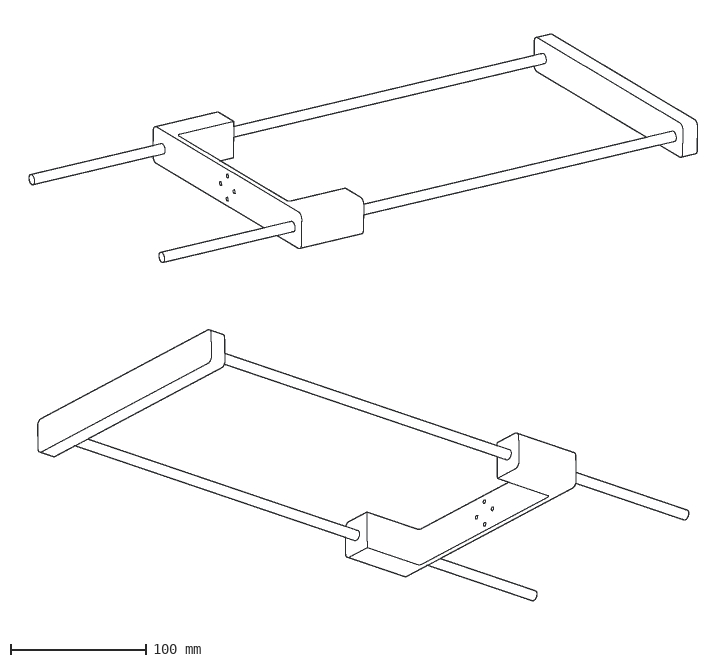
import cadquery as cq

total_length = 463.5
frame_width = 203.0
frame_tilt = 0.96
rear_y = total_length / 2
front_y = -total_length / 2

rod_diameter = 8.0
rod_spacing = 177.5

bar_thickness = 13.0
bar_height = 27.5
bar_corner_radius = 4.0
bar_front_y = rear_y - bar_thickness

carriage_front_y = front_y + 115.0
carriage_length = 54.5
carriage_height = 29.0
carriage_corner_radius = 4.5
arm_width = 25.5
web_thickness = 4.5
inner_corner_radius = 2.5

mount_hole_diameter = 3.0
mount_circle_radius = 9.5
mount_hole_count = 4


def section_plane(y):
    """XZ plane at the given Y; extrusion goes toward +Y, so local X points to -X."""
    return cq.Plane(origin=(0, y, 0), xDir=(-1, 0, 0), normal=(0, 1, 0))


def tilted(body):
    """Lean a body about the Y axis."""
    return body.rotate((0, 0, 0), (0, 1, 0), frame_tilt)


def rounded_bar(start_y, depth, height, corner_radius):
    """Full-width block with rounded edges along Y."""
    block = cq.Workplane(section_plane(start_y)).rect(frame_width, height).extrude(depth)
    return block.edges("|Y").fillet(corner_radius)


def make_end_bar():
    return tilted(rounded_bar(bar_front_y, bar_thickness, bar_height, bar_corner_radius))


def make_carriage():
    body = rounded_bar(carriage_front_y, carriage_length, carriage_height, carriage_corner_radius)

    gap_depth = carriage_length - web_thickness
    gap = (
        cq.Workplane(section_plane(carriage_front_y + web_thickness))
        .rect(frame_width - 2 * arm_width, carriage_height)
        .extrude(gap_depth)
        .edges("|Z and <Y")
        .fillet(inner_corner_radius)
    )

    rod_bores = (
        cq.Workplane(section_plane(carriage_front_y))
        .pushPoints([(-rod_spacing / 2, 0), (rod_spacing / 2, 0)])
        .circle(rod_diameter / 2)
        .extrude(carriage_length)
    )
    mount_holes = (
        cq.Workplane(section_plane(carriage_front_y))
        .polarArray(mount_circle_radius, 0, 360, mount_hole_count)
        .circle(mount_hole_diameter / 2)
        .extrude(web_thickness)
    )
    return tilted(body.cut(gap).cut(rod_bores).cut(mount_holes))


def make_rod(x):
    """Rod from the front end to the front face of the end bar."""
    rod = (
        cq.Workplane(section_plane(front_y))
        .center(-x, 0)
        .circle(rod_diameter / 2)
        .extrude(bar_front_y - front_y)
    )
    return tilted(rod)


end_bar = make_end_bar()
carriage = make_carriage()
rods = [make_rod(side * rod_spacing / 2) for side in (-1, 1)]

result = cq.Compound.makeCompound([end_bar.val(), carriage.val(), *[rod.val() for rod in rods]])